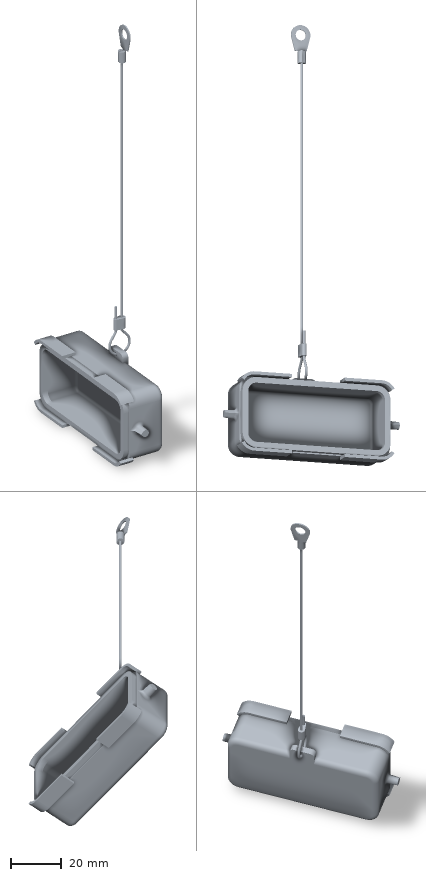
import cadquery as cq
import math


COVER_HALF_X = 31.3
COVER_HALF_Z = 14.7
COVER_DEPTH = 18.7
COVER_CORNER_RADIUS = 4.8
BACK_EDGE_FILLET = 2.1

LIP_LENGTH = 2.5
LIP_STEP = 0.5
LIP_WALL = 2.3
LIP_CORNER_RADIUS = 5.9
CAVITY_CORNER_RADIUS = 2.1
FLOOR_THICKNESS = 2.7
FLOOR_FILLET = 1.0

GUARD_HALF_Z = 16.0
GUARD_INNER_X = 11.0
GUARD_LENGTH = 6.2
GUARD_FRONT_Y = -20.6
GUARD_END_ANGLE = 30.0

PIN_TIP_X = 36.2
PIN_Y = -11.9
PIN_RADIUS = 1.8
PIN_TAPER = 3.0
PIN_BASE_FILLET = 1.2

TAB_HALF_WIDTH = 5.06
TAB_TOP_Z = 18.5
TAB_THICKNESS = 2.7
TAB_CORNER_RADIUS = 1.8
TAB_HOLE_DIAMETER = 1.6
TAB_HOLE_Z = 16.5

WIRE_DIAMETER = 1.0
WIRE_X = 0.09
WIRE_Y = 0.2
TAIL_Y = -2.7
WIRE_TOP_Z = 151.4
TAIL_TOP_Z = 37.8
LOOP_RADIUS = 4.6
LOOP_Y = -0.9
LOOP_Z = 21.0
LOOP_NECK_Z = 26.7

SLEEVE_WIRE_RADIUS = 1.5
SLEEVE_TAIL_RADIUS = 0.98
SLEEVE_BOTTOM_Z = 27.7
SLEEVE_LENGTH = 4.8

EYE_RADIUS = 4.0
EYE_HOLE_DIAMETER = 4.3
EYE_TOP_Z = 161.7
EYE_THICKNESS = 0.5
TONGUE_HALF_WIDTH = 2.4
TONGUE_BOTTOM_Z = 151.2
NECK_HALF_WIDTH = 1.0
BARREL_RADIUS = 1.6
BARREL_BOTTOM_Z = 146.0
BARREL_TOP_Z = 150.8
BARREL_SEAM_WIDTH = 0.5

EYE_Z = EYE_TOP_Z - EYE_RADIUS


def rounded_block(half_x, half_z, corner_radius, back_y, front_y):
    """Block between two Y positions with its four Y-parallel edges rounded."""
    block = cq.Workplane("XZ", origin=(0, back_y, 0)).rect(2 * half_x, 2 * half_z).extrude(back_y - front_y)
    return block.edges("|Y").fillet(corner_radius)


def make_shell():
    """Open box with a stepped lip, hollowed out from the front."""
    lip_base_y = LIP_LENGTH - COVER_DEPTH
    lip_half_x = COVER_HALF_X - LIP_STEP
    lip_half_z = COVER_HALF_Z - LIP_STEP
    bore_half_x = lip_half_x - LIP_WALL
    bore_half_z = lip_half_z - LIP_WALL
    bore_corner_radius = LIP_CORNER_RADIUS - LIP_WALL

    body = rounded_block(COVER_HALF_X, COVER_HALF_Z, COVER_CORNER_RADIUS, 0, lip_base_y)
    body = body.faces(">Y").edges().fillet(BACK_EDGE_FILLET)
    lip = rounded_block(lip_half_x, lip_half_z, LIP_CORNER_RADIUS, lip_base_y, -COVER_DEPTH)

    cavity = rounded_block(bore_half_x, bore_half_z, CAVITY_CORNER_RADIUS, -FLOOR_THICKNESS, lip_base_y)
    cavity = cavity.faces(">Y").edges().fillet(FLOOR_FILLET)
    mouth = rounded_block(bore_half_x, bore_half_z, bore_corner_radius, lip_base_y, -COVER_DEPTH)
    return body.union(lip).cut(cavity).cut(mouth)


def make_guard():
    """Guard at the +X, +Z corner: a flat plate that bends around the corner."""
    corner_x = COVER_HALF_X - COVER_CORNER_RADIUS
    corner_z = COVER_HALF_Z - COVER_CORNER_RADIUS
    outer_radius = GUARD_HALF_Z - corner_z

    def on_corner(radius, angle):
        turn = math.radians(angle)
        return (corner_x + radius * math.cos(turn), corner_z + radius * math.sin(turn))

    mid_angle = (90 + GUARD_END_ANGLE) / 2
    outline = (
        cq.Workplane("XZ", origin=(0, GUARD_FRONT_Y + GUARD_LENGTH, 0))
        .moveTo(GUARD_INNER_X, GUARD_HALF_Z)
        .lineTo(corner_x, GUARD_HALF_Z)
        .threePointArc(on_corner(outer_radius, mid_angle), on_corner(outer_radius, GUARD_END_ANGLE))
        .lineTo(*on_corner(COVER_CORNER_RADIUS, GUARD_END_ANGLE))
        .threePointArc(on_corner(COVER_CORNER_RADIUS, mid_angle), on_corner(COVER_CORNER_RADIUS, 90))
        .lineTo(GUARD_INNER_X, COVER_HALF_Z)
        .close()
    )
    return outline.extrude(GUARD_LENGTH)


def make_pin():
    """Pin on the +X end: a slightly tapered teardrop whose point faces -Y."""
    tangent = PIN_RADIUS * math.sqrt(0.5)
    point_y = PIN_Y - PIN_RADIUS * math.sqrt(2)
    teardrop = (
        cq.Workplane("YZ", origin=(COVER_HALF_X, 0, 0))
        .moveTo(point_y, 0)
        .lineTo(PIN_Y - tangent, tangent)
        .threePointArc((PIN_Y + PIN_RADIUS, 0), (PIN_Y - tangent, -tangent))
        .close()
    )
    return teardrop.extrude(PIN_TIP_X - COVER_HALF_X, taper=PIN_TAPER)


def make_tab():
    """Upright tab flush with the cover's back face, rooted below the rounded back edge."""
    root_z = COVER_HALF_Z - BACK_EDGE_FILLET
    tab = (
        cq.Workplane("XY", origin=(0, -TAB_THICKNESS / 2, root_z))
        .rect(2 * TAB_HALF_WIDTH, TAB_THICKNESS)
        .extrude(TAB_TOP_Z - root_z)
    )
    return tab.edges("|Y and >Z").fillet(TAB_CORNER_RADIUS)


def fillet_pin_foot(cover, side):
    """Blend the pin on the given side (-1 or 1) into the end wall."""
    foot_x = side * COVER_HALF_X
    reach = 2 * PIN_RADIUS
    foot_margin = 0.2
    foot = cq.selectors.BoxSelector(
        (foot_x - foot_margin, PIN_Y - reach, -reach),
        (foot_x + foot_margin, PIN_Y + reach, reach),
    )
    return cover.edges(foot).fillet(PIN_BASE_FILLET)


def make_cover():
    """Shell with end pins, corner guards and a drilled lanyard tab."""
    pin = make_pin()
    cover = make_shell().union(pin).union(pin.mirror("YZ"))
    for side in (-1, 1):
        cover = fillet_pin_foot(cover, side)
    guard = make_guard()
    guard_pair = guard.union(guard.mirror("YZ"))
    cover = cover.union(guard_pair).union(guard_pair.mirror("XY")).union(make_tab())
    tab_hole = (
        cq.Workplane("XZ", origin=(WIRE_X, 0, TAB_HOLE_Z))
        .circle(TAB_HOLE_DIAMETER / 2)
        .extrude(TAB_THICKNESS)
    )
    return cover.cut(tab_hole)


def loop_tangent_point(neck_y):
    """Point where a line from the loop's neck at neck_y touches the loop on the same side."""
    dy = neck_y - LOOP_Y
    dz = LOOP_NECK_Z - LOOP_Z
    side = 1 if dy > 0 else -1
    swing = math.acos(LOOP_RADIUS / math.hypot(dy, dz))
    angle = math.atan2(dz, dy) - side * swing
    return (LOOP_Y + LOOP_RADIUS * math.cos(angle), LOOP_Z + LOOP_RADIUS * math.sin(angle))


def make_wire():
    """Round wire: down from the terminal, around the loop and up to the short tail."""
    path = (
        cq.Workplane("YZ", origin=(WIRE_X, 0, 0))
        .moveTo(WIRE_Y, WIRE_TOP_Z)
        .lineTo(WIRE_Y, LOOP_NECK_Z)
        .lineTo(*loop_tangent_point(WIRE_Y))
        .threePointArc((LOOP_Y, LOOP_Z - LOOP_RADIUS), loop_tangent_point(TAIL_Y))
        .lineTo(TAIL_Y, LOOP_NECK_Z)
        .lineTo(TAIL_Y, TAIL_TOP_Z)
    )
    section = cq.Workplane("XY", origin=(WIRE_X, WIRE_Y, WIRE_TOP_Z)).circle(WIRE_DIAMETER / 2)
    return section.sweep(path, transition="round")


def make_sleeve():
    """Sleeve with a wide round end about the wire, narrowing to a small round end about the tail."""
    lean = math.asin((SLEEVE_WIRE_RADIUS - SLEEVE_TAIL_RADIUS) / (WIRE_Y - TAIL_Y))

    def side_point(radius, centre_y, side):
        return (side * radius * math.cos(lean), centre_y - radius * math.sin(lean))

    outline = (
        cq.Workplane("XY", origin=(WIRE_X, 0, SLEEVE_BOTTOM_Z))
        .moveTo(*side_point(SLEEVE_WIRE_RADIUS, WIRE_Y, 1))
        .threePointArc((0, WIRE_Y + SLEEVE_WIRE_RADIUS), side_point(SLEEVE_WIRE_RADIUS, WIRE_Y, -1))
        .lineTo(*side_point(SLEEVE_TAIL_RADIUS, TAIL_Y, -1))
        .threePointArc((0, TAIL_Y - SLEEVE_TAIL_RADIUS), side_point(SLEEVE_TAIL_RADIUS, TAIL_Y, 1))
        .close()
    )
    return outline.extrude(SLEEVE_LENGTH)


def make_terminal():
    """Crimped barrel with a seam on its -Y side, carrying a flat eye flush with its +Y side."""
    drop = EYE_Z - TONGUE_BOTTOM_Z
    reach = math.hypot(TONGUE_HALF_WIDTH, drop)
    flank_angle = math.acos(EYE_RADIUS / reach) - math.atan2(drop, TONGUE_HALF_WIDTH)
    flank_x = EYE_RADIUS * math.cos(flank_angle)
    flank_z = EYE_Z + EYE_RADIUS * math.sin(flank_angle)
    eye = (
        cq.Workplane("XZ", origin=(WIRE_X, WIRE_Y + BARREL_RADIUS, 0))
        .moveTo(-NECK_HALF_WIDTH, BARREL_TOP_Z)
        .lineTo(-NECK_HALF_WIDTH, TONGUE_BOTTOM_Z)
        .lineTo(-TONGUE_HALF_WIDTH, TONGUE_BOTTOM_Z)
        .lineTo(-flank_x, flank_z)
        .threePointArc((0, EYE_TOP_Z), (flank_x, flank_z))
        .lineTo(TONGUE_HALF_WIDTH, TONGUE_BOTTOM_Z)
        .lineTo(NECK_HALF_WIDTH, TONGUE_BOTTOM_Z)
        .lineTo(NECK_HALF_WIDTH, BARREL_TOP_Z)
        .close()
        .moveTo(0, EYE_Z)
        .circle(EYE_HOLE_DIAMETER / 2)
        .extrude(EYE_THICKNESS)
    )
    barrel_length = BARREL_TOP_Z - BARREL_BOTTOM_Z
    barrel = cq.Workplane("XY", origin=(WIRE_X, WIRE_Y, BARREL_BOTTOM_Z)).circle(BARREL_RADIUS)
    barrel = barrel.extrude(barrel_length)
    seam = (
        cq.Workplane("XY", origin=(WIRE_X, WIRE_Y - BARREL_RADIUS / 2, BARREL_BOTTOM_Z))
        .rect(BARREL_SEAM_WIDTH, BARREL_RADIUS)
        .extrude(barrel_length)
    )
    return barrel.cut(seam).union(eye)


def make_lanyard():
    """Eye terminal, wire and sleeve as one solid."""
    return make_terminal().union(make_wire()).union(make_sleeve())


cover = make_cover()
lanyard = make_lanyard()

result = cq.Compound.makeCompound([cover.val(), lanyard.val()])